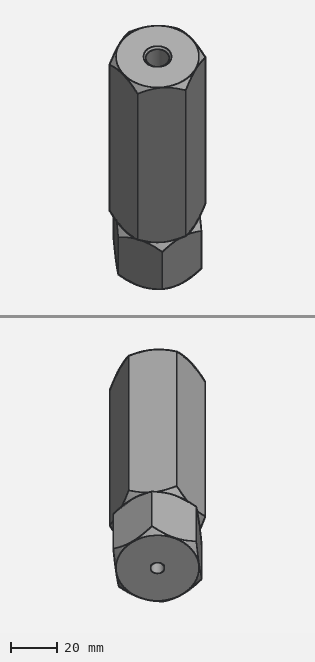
import cadquery as cq

total_length = 130.0
nut_height = 30.0
sleeve_length = total_length - nut_height
corner_diameter = 41.6
hexagon_sides = 6
sleeve_turn = 180 / hexagon_sides

end_face_diameter = 35.8
corner_chamfer = (corner_diameter - end_face_diameter) / 2

sleeve_bore_diameter = 10.1
bore_mouth_diameter = 12.1
bore_chamfer = (bore_mouth_diameter - sleeve_bore_diameter) / 2
nut_hole_diameter = 6.0


def chamfered_hexagon(length, base_z, turn):
    """Hexagonal bar with conical corners at both ends, turned about Z in degrees."""
    bar = (
        cq.Workplane("XY")
        .polygon(hexagon_sides, corner_diameter)
        .extrude(length)
        .rotate((0, 0, 0), (0, 0, 1), turn)
    )
    envelope = (
        cq.Workplane("XY")
        .circle(corner_diameter / 2)
        .extrude(length)
        .edges()
        .chamfer(corner_chamfer)
    )
    return bar.intersect(envelope).translate((0, 0, base_z))


def make_nut():
    """Short lower hexagon with corners on the X axis and a small through hole."""
    body = chamfered_hexagon(nut_height, base_z=0, turn=0)
    hole = cq.Workplane("XY").circle(nut_hole_diameter / 2).extrude(nut_height)
    return body.cut(hole)


def make_sleeve():
    """Long upper hexagon with corners on the Y axis and a bore chamfered at the top."""
    body = chamfered_hexagon(sleeve_length, nut_height, sleeve_turn)
    bore = (
        cq.Workplane("XY", origin=(0, 0, nut_height))
        .circle(sleeve_bore_diameter / 2)
        .extrude(sleeve_length)
    )
    mouth = (
        cq.Workplane("XY", origin=(0, 0, total_length))
        .circle(bore_mouth_diameter / 2)
        .workplane(offset=-bore_chamfer)
        .circle(sleeve_bore_diameter / 2)
        .loft(ruled=True)
    )
    return body.cut(bore).cut(mouth)


nut = make_nut()
sleeve = make_sleeve()
result = cq.Compound.makeCompound([nut.val(), sleeve.val()])